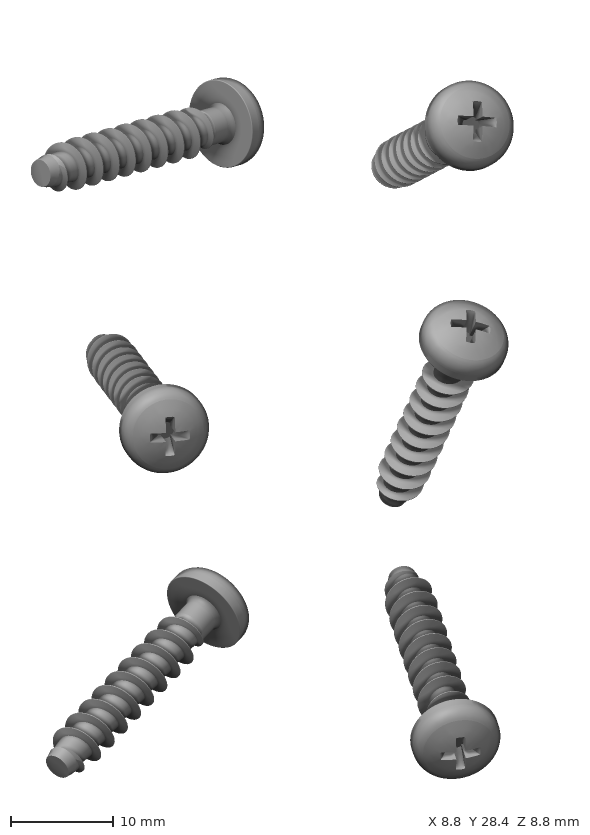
import cadquery as cq
import math


total_length = 28.35

head_radius = 8.8 / 2
head_height = 3.37
rim_height = 0.95
rim_edge_radius = 0.09
crown_radius = 6.95

recess_wing_width = 0.94
recess_top_radius = 2.18
recess_floor_radius = 0.85
recess_depth = 2.27
recess_clearance = 0.28
recess_corner_radius = recess_wing_width / math.sqrt(2)

shank_radius = 3.6 / 2
shank_end = -2.5
neck_radius = 2.1
neck_length = 0.68

core_radius = 2.92 / 2
swell_radius = 1.65
core_taper_length = 1.25
core_taper_radius = 1.42
tip_z = head_height - total_length
tip_radius = 1.35
tip_taper_length = 1.13

thread_radius = 5.07 / 2
thread_root_width = 0.6
thread_crest_width = 0.09

thread_turns = 11
top_crest_z = -1.98
bottom_crest_z = -26.7
pitch = (top_crest_z - bottom_crest_z) / thread_turns
lower_faded_radius = 1.67
lead_in_radius = 2.45
upper_faded_radius = 1.75


def revolve_outline(outline):
    """Turn a closed (radius, z) outline around the Z axis."""
    return outline.close().revolve(360, (0, 0, 0), (0, 1, 0))


def make_head():
    """Two-arc dome on a short cylindrical rim."""
    crown_center_z = head_height - math.sqrt(crown_radius**2 - recess_corner_radius**2)
    drop = rim_height - crown_center_z
    shoulder_radius = (crown_radius**2 - head_radius**2 - drop**2) / (2 * (crown_radius - head_radius))
    shoulder_center_r = head_radius - shoulder_radius
    crown_angle = math.atan2(shoulder_center_r, drop)

    def crown_point(angle):
        return (crown_radius * math.sin(angle), crown_center_z + crown_radius * math.cos(angle))

    shoulder_angle = (crown_angle + math.pi / 2) / 2
    shoulder_mid = (
        shoulder_center_r + shoulder_radius * math.sin(shoulder_angle),
        rim_height + shoulder_radius * math.cos(shoulder_angle),
    )
    outline = (
        cq.Workplane("XZ")
        .lineTo(head_radius, 0)
        .lineTo(head_radius, rim_height)
        .threePointArc(shoulder_mid, crown_point(crown_angle))
        .threePointArc(crown_point(crown_angle / 2), crown_point(0))
    )
    return revolve_outline(outline).faces("<Z").edges().fillet(rim_edge_radius)


def make_recess():
    """Cross of two wings that narrows towards a flat floor."""
    floor_z = head_height - recess_depth
    cut_height = recess_depth + recess_clearance
    span = 2 * recess_top_radius
    wings = (
        cq.Workplane("XY", origin=(0, 0, floor_z))
        .rect(span, recess_wing_width)
        .extrude(cut_height)
        .union(
            cq.Workplane("XY", origin=(0, 0, floor_z))
            .rect(recess_wing_width, span)
            .extrude(cut_height)
        )
    )
    cone = revolve_outline(
        cq.Workplane("XZ")
        .moveTo(0, floor_z)
        .lineTo(recess_floor_radius, floor_z)
        .lineTo(recess_top_radius, head_height)
        .lineTo(recess_top_radius, floor_z + cut_height)
        .lineTo(0, floor_z + cut_height)
    )
    return wings.intersect(cone)


def make_shank():
    """Flared neck and plain shank, ending in a cone that sinks into the threaded core."""
    neck_flare = neck_radius - shank_radius
    neck_arc_radius = (neck_length**2 + neck_flare**2) / (2 * neck_flare)
    cone_end_z = shank_end - core_taper_length
    outline = (
        cq.Workplane("XZ")
        .moveTo(0, rim_height)
        .lineTo(neck_radius, rim_height)
        .lineTo(neck_radius, 0)
        .radiusArc((shank_radius, -neck_length), -neck_arc_radius)
        .lineTo(shank_radius, shank_end)
        .lineTo(core_taper_radius, cone_end_z)
        .lineTo(0, cone_end_z)
    )
    return revolve_outline(outline)


def thread_profile(crest_radius, crest_z):
    """(radius, z) corners of one pitch, from the root above a crest to the root above the next one down."""
    half_crest = thread_crest_width / 2
    half_root = thread_root_width / 2
    return [
        (core_radius, crest_z + half_root),
        (crest_radius, crest_z + half_crest),
        (crest_radius, crest_z - half_crest),
        (swell_radius, crest_z - half_root),
        (core_radius, crest_z + half_root - pitch),
    ]


def helix_edge(start, end):
    """One right-hand turn between two (radius, z) points one pitch apart."""
    start_radius, start_z = start
    growth = end[0] - start_radius
    if growth == 0:
        helix = cq.Wire.makeHelix(pitch, pitch, start_radius)
    else:
        cone_angle = math.degrees(math.atan2(growth, pitch))
        slant_pitch = math.hypot(growth, pitch)
        helix = cq.Wire.makeHelix(slant_pitch, slant_pitch, start_radius, angle=cone_angle)
    return helix.translate(cq.Vector(0, 0, start_z)).Edges()[0]


def end_faces(profile, helix):
    """Close an end of the threaded rod: a half-plane through the axis and a helicoid from the axis."""
    top_z = profile[0][1]
    bottom_z = profile[-1][1]
    outline = [(0, bottom_z), (0, top_z)] + profile
    half_plane = cq.Workplane("XZ").polyline(outline).close().wires().val()
    helix_start_z = helix.startPoint().z
    axis = cq.Edge.makeLine(cq.Vector(0, 0, helix_start_z), cq.Vector(0, 0, helix_start_z + pitch))
    return [cq.Face.makeFromWires(half_plane), cq.Face.makeRuledSurface(axis, helix)]


def make_threaded_rod():
    """Core and thread in one solid, bounded by ruled helical faces turn by turn."""
    lead_in = [lower_faded_radius, lower_faded_radius, lead_in_radius]
    run_out = [upper_faded_radius]
    full_count = thread_turns + 1 - len(lead_in) - len(run_out)
    crest_radii = lead_in + [thread_radius] * full_count + run_out
    profiles = [
        thread_profile(radius, bottom_crest_z + turn * pitch)
        for turn, radius in enumerate(crest_radii)
    ]
    faces = []
    turns = []
    for lower, upper in zip(profiles, profiles[1:]):
        helices = [helix_edge(start, end) for start, end in zip(lower, upper)]
        faces += [cq.Face.makeRuledSurface(one, two) for one, two in zip(helices, helices[1:])]
        turns.append(helices)
    faces += end_faces(profiles[0], turns[0][-1])
    faces += end_faces(profiles[-1], turns[-1][0])
    solid = cq.Solid.makeSolid(cq.Shell.makeShell(faces))
    return cq.Workplane(solid).rotate((0, 0, 0), (0, 0, 1), 180)


def make_tip_envelope():
    """Round body that trims the threaded rod to a flat, tapered tip."""
    taper_end_z = tip_z + tip_taper_length
    outline = (
        cq.Workplane("XZ")
        .moveTo(0, tip_z)
        .lineTo(tip_radius, tip_z)
        .lineTo(swell_radius, taper_end_z)
        .lineTo(head_radius, taper_end_z + head_radius - swell_radius)
        .lineTo(head_radius, 0)
        .lineTo(0, 0)
    )
    return revolve_outline(outline)


screw = make_threaded_rod().intersect(make_tip_envelope()).union(make_shank())
screw = screw.union(make_head()).cut(make_recess())
result = screw.rotate((0, 0, 0), (1, 0, 0), -90)